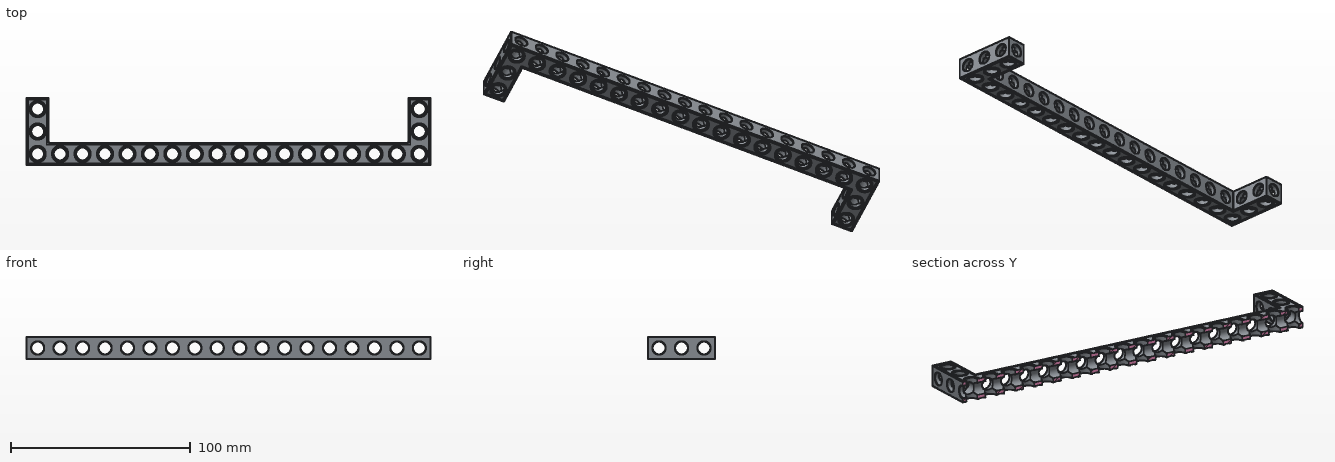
import cadquery as cq

pitch = 12.5
cubes_along_beam = 18
cubes_along_leg = 3
edge_chamfer = 0.3
hole_diameter = 7.0
collar_diameter = 9.2
panel_rim = 1.1
panel_depth = 0.2

beam_length = cubes_along_beam * pitch
leg_length = cubes_along_leg * pitch
half_pitch = pitch / 2
hole_radius = hole_diameter / 2
hole_mouth_radius = hole_radius + edge_chamfer
collar_radius = collar_diameter / 2

column_x = [(i - (cubes_along_beam - 1) / 2) * pitch for i in range(cubes_along_beam)]
row_y = [(i + 0.5) * pitch for i in range(cubes_along_leg)]
end_columns = (column_x[0], column_x[-1])
cube_centres = [(x, row_y[0]) for x in column_x]
cube_centres += [(x, y) for x in end_columns for y in row_y[1:]]


def u_shape(inset, height):
    """U-shaped bar, a long beam with a leg at each end, shrunk all round by the inset."""
    outer_x = beam_length / 2 - inset
    inner_x = beam_length / 2 - pitch + inset
    near_y = inset
    inner_y = pitch - inset
    far_y = leg_length - inset
    outline = [
        (-outer_x, near_y),
        (outer_x, near_y),
        (outer_x, far_y),
        (inner_x, far_y),
        (inner_x, inner_y),
        (-inner_x, inner_y),
        (-inner_x, far_y),
        (-outer_x, far_y),
    ]
    bar = cq.Workplane("XY").polyline(outline).close().extrude(height)
    return bar.translate((0, 0, -height / 2))


def make_body():
    """Bar with every edge broken and a shallow panel sunk into the top and the bottom.

    A collar round each vertical hole is left standing in the panels, flush with the rim.
    """
    body = u_shape(0, pitch).edges().chamfer(edge_chamfer)
    cutter_height = 2 * panel_depth
    collars = (
        cq.Workplane("XY")
        .pushPoints(cube_centres)
        .circle(collar_radius)
        .extrude(cutter_height / 2, both=True)
    )
    panel = u_shape(panel_rim, cutter_height).cut(collars)
    for face_z in (-half_pitch, half_pitch):
        body = body.cut(panel.translate((0, 0, face_z)))
    return body


def through_hole(length):
    """Plain through hole along Z, centred on the origin, with both mouths chamfered."""
    end = length / 2
    upper_half = [
        (hole_radius, end - edge_chamfer),
        (hole_mouth_radius, end),
        (0, end),
    ]
    lower_half = [(radius, -height) for radius, height in reversed(upper_half)]
    profile = lower_half + upper_half
    return cq.Workplane("XZ").polyline(profile).close().revolve(360, (0, 0), (0, 1))


def drill_vertical_holes(body):
    """One vertical hole in every cube of the beam and of the legs."""
    hole = through_hole(pitch)
    for x, y in cube_centres:
        body = body.cut(hole.translate((x, y, 0)))
    return body


def drill_holes_along_y(body):
    """Holes through the beam at every column; the end ones run the full length of the legs."""
    for x in column_x:
        length = leg_length if x in end_columns else pitch
        hole = through_hole(length).rotate((0, 0, 0), (1, 0, 0), 90)
        body = body.cut(hole.translate((x, length / 2, 0)))
    return body


def drill_holes_along_x(body):
    """One hole through each leg row; the first row runs the full length of the beam."""
    beam_hole = through_hole(beam_length).rotate((0, 0, 0), (0, 1, 0), 90)
    body = body.cut(beam_hole.translate((0, row_y[0], 0)))
    leg_hole = through_hole(pitch).rotate((0, 0, 0), (0, 1, 0), 90)
    for x in end_columns:
        for y in row_y[1:]:
            body = body.cut(leg_hole.translate((x, y, 0)))
    return body


result = drill_holes_along_x(drill_holes_along_y(drill_vertical_holes(make_body())))